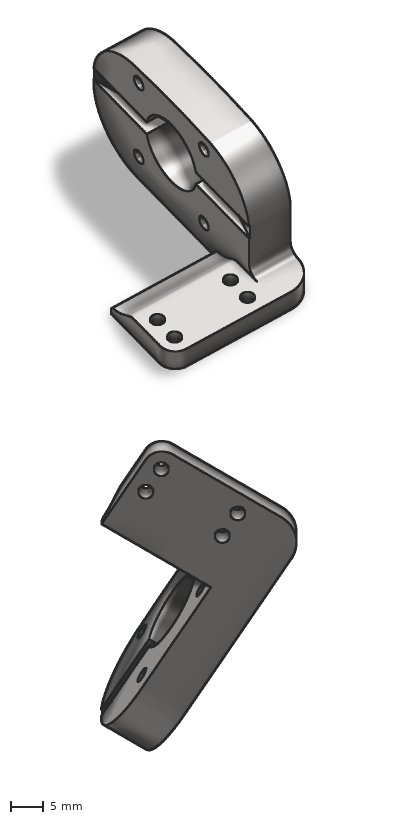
import cadquery as cq
import math

total_length = 47.8
total_depth = 28.0
total_height = 25.65

plate_width = 40.93
plate_thickness = 8.0
half_width = plate_width / 2
lower_corner_radius = 11.55
upper_corner_radius = 11.55
side_top_z = 14.85
crown_half_width = 10.35
crown_end_z = 25.25

bore_diameter = 13.2
bore_z = 13.65
screw_diameter = 2.5
screw_spacing = 17.1

groove_bottom_z = 12.3
groove_top_z = 15.0
groove_edge_depth = 0.15
groove_angle = 16.0

foot_right = total_length - half_width
foot_left = 11.5
foot_height = 4.1
foot_front = plate_thickness - total_depth
back_corner_radius = 5.0
front_corner_radius = 3.0
root_fillet_radius = 2.0

nose_start_z = 0.8
nose_end = (0.85, 1.75)
ramp_start = (3.3, 2.73)
ramp_end = (4.75, 3.7)
ramp_crest = 6.02

mount_diameter = 2.3
mount_spacing_x = 4.5
mount_spacing_y = 14.0
mount_edge_x = 3.05
mount_edge_y = 2.9


def extrude_back(profile, front_y, back_y):
    """Extrude an XZ profile between two Y positions."""
    return profile.extrude(front_y - back_y).translate((0, front_y, 0))


def make_plate():
    profile = (
        cq.Workplane("XZ")
        .moveTo(half_width, 0)
        .lineTo(half_width, side_top_z)
        .radiusArc((crown_half_width, crown_end_z), -upper_corner_radius)
        .threePointArc((0, total_height), (-crown_half_width, crown_end_z))
        .radiusArc((-half_width, side_top_z), -upper_corner_radius)
        .lineTo(-half_width, lower_corner_radius)
        .tangentArcPoint((-half_width + lower_corner_radius, 0), relative=False)
        .close()
    )
    return extrude_back(profile, 0, plate_thickness)


def make_foot():
    def edge_point(offset_and_height):
        return (foot_left + offset_and_height[0], offset_and_height[1])

    profile = (
        cq.Workplane("XZ")
        .moveTo(foot_right, 0)
        .lineTo(foot_left, 0)
        .lineTo(foot_left, nose_start_z)
        .tangentArcPoint(edge_point(nose_end), relative=False)
    )
    ramp_angle = math.atan2(ramp_end[1] - ramp_start[1], ramp_end[0] - ramp_start[0])
    chord_x = ramp_start[0] - nose_end[0]
    chord_z = ramp_start[1] - nose_end[1]
    chord = math.hypot(chord_x, chord_z)
    turn = ramp_angle - math.atan2(chord_z, chord_x)
    sag = chord / 2 * math.tan(turn / 2)
    hollow_middle = (
        (nose_end[0] + ramp_start[0]) / 2 + sag * chord_z / chord,
        (nose_end[1] + ramp_start[1]) / 2 - sag * chord_x / chord,
    )
    profile = (
        profile.threePointArc(edge_point(hollow_middle), edge_point(ramp_start))
        .lineTo(*edge_point(ramp_end))
        .tangentArcPoint((foot_left + ramp_crest, foot_height), relative=False)
        .lineTo(foot_right, foot_height)
        .close()
    )
    foot = extrude_back(profile, foot_front, plate_thickness)
    foot = foot.edges("|Z and >X and >Y").fillet(back_corner_radius)
    return foot.edges("|Z and >X and <Y").fillet(front_corner_radius)


def make_root_fillet():
    profile = (
        cq.Workplane("XZ")
        .moveTo(half_width, foot_height)
        .lineTo(half_width + root_fillet_radius, foot_height)
        .radiusArc((half_width, foot_height + root_fillet_radius), root_fillet_radius)
        .close()
    )
    return extrude_back(profile, 0, plate_thickness)


def make_groove():
    """Wedge-shaped cutter, shallow at both sides and deepest on the bore axis."""
    centre_depth = groove_edge_depth + half_width * math.tan(math.radians(groove_angle))
    return (
        cq.Workplane("XY", origin=(0, 0, groove_bottom_z))
        .polyline([
            (-half_width, 0),
            (half_width, 0),
            (half_width, groove_edge_depth),
            (0, centre_depth),
            (-half_width, groove_edge_depth),
        ])
        .close()
        .extrude(groove_top_z - groove_bottom_z)
    )


def make_plate_holes():
    bore = cq.Workplane("XZ", origin=(0, 0, bore_z)).circle(bore_diameter / 2)
    screws = (
        cq.Workplane("XZ", origin=(0, 0, bore_z))
        .rarray(screw_spacing, screw_spacing, 2, 2)
        .circle(screw_diameter / 2)
    )
    return extrude_back(bore, 0, plate_thickness).union(extrude_back(screws, 0, plate_thickness))


def make_mount_holes():
    centre_x = foot_right - mount_edge_x - mount_spacing_x / 2
    centre_y = foot_front + mount_edge_y + mount_spacing_y / 2
    return (
        cq.Workplane("XY", origin=(centre_x, centre_y, 0))
        .rarray(mount_spacing_x, mount_spacing_y, 2, 2)
        .circle(mount_diameter / 2)
        .extrude(foot_height)
    )


body = make_plate().union(make_foot()).union(make_root_fillet())
result = body.cut(make_groove()).cut(make_plate_holes()).cut(make_mount_holes())